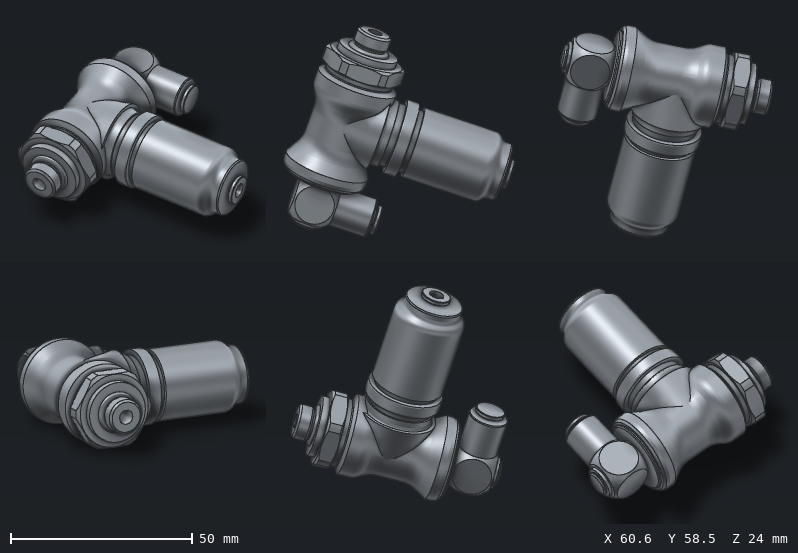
import cadquery as cq
import math


COLLAR_RADIUS = 12.0
WAIST_RADIUS = 9.0
SKIRT_RADIUS = 11.45
FLARE_ANGLE = math.radians(30)
FLARE_FILLET = 8.0
SKIRT_FILLET = 4.25
BODY_TOP = 18.45
TOP_LAND_RADIUS = 9.85
TOP_CHAMFER = 0.35
TOP_STEP_Y = 17.7
TOP_STEP_RADIUS = 11.1
COLLAR_BEVEL_Y = 16.95
COLLAR_BEVEL_RADIUS = 11.7
COLLAR_TOP = 15.85
COLLAR_BOTTOM = 14.0
WAIST_BOTTOM = -0.4
SKIRT_BOTTOM = -11.4
SKIRT_BEVEL_BOTTOM = -12.3
SKIRT_BEVEL_RADIUS = 9.75
BODY_NECK_TOP = -12.65
BODY_NECK_RADIUS = 9.6

HEX_TOP = -14.1
HEX_HEIGHT = 4.65
HEX_ACROSS_FLATS = 21.0
HEX_CORNER_RADIUS = 11.5
HEX_FACE_RADIUS = 10.4
HEX_CHAMFER_ANGLE = math.radians(30)

WASHER_RADIUS = 8.55
WASHER_BOTTOM = -20.75
SEAL_RADIUS = 5.9
SEAL_FACE_RADIUS = 5.15
SEAL_BOTTOM = -21.55
UNDERCUT_RADIUS = 4.3
UNDERCUT_BOTTOM = -22.1
THREAD_RADIUS = 4.9
THREAD_CHAMFER = 0.6
TIP_Y = -26.25
BORE_RADIUS = 2.0

BRANCH_CONE_END = 10.2
BRANCH_CONE_RADIUS = 11.1
SHOULDER_FILLET_RADIUS = 10.0
SHOULDER_START = 11.15
SHOULDER_END = 12.9
SHOULDER_RADIUS = 9.55
RING_START = 14.95
RING_END = 18.45
RING_RADIUS = 10.7
RING_CHAMFER_LENGTH = 0.4
RING_CHAMFER_DEPTH = 0.1
SLEEVE_START = 20.15
SLEEVE_ROUND_START = 41.0
SLEEVE_RADIUS = 10.1
NOSE_ANGLE = math.radians(45)
NOSE_OUTER_FILLET = 2.65
NOSE_INNER_FILLET = 1.9
NOSE_RADIUS = 8.2
NOSE_END = 46.55
NOSE_END_LENGTH = 0.5
NOSE_END_DEPTH = 0.2

BUTTON_STEM_RADIUS = 2.55
BUTTON_STEM_LENGTH = 0.8
BUTTON_RADIUS = 4.1
BUTTON_THICKNESS = 1.2
BUTTON_CHAMFER = 0.2

BLOCK_SIZE = 12.0
BLOCK_FACE_RADIUS = 5.45
ELBOW_TUBE_RADIUS = 5.5
ELBOW_TUBE_END = 16.45
ELBOW_TUBE_CHAMFER_LENGTH = 0.35
ELBOW_TUBE_CHAMFER_DEPTH = 0.1
CAP_RADIUS = 4.4
CAP_HEIGHT = 0.95
CAP_BOSS_RADIUS = 3.45
CAP_BOSS_HEIGHT = 0.85
CAP_BOSS_CHAMFER = 0.5

block_half = BLOCK_SIZE / 2
block_y = BODY_TOP + block_half


def revolve_about_y(outline):
    """Turn an outline drawn in XY as (radius, y) about the Y axis."""
    return outline.close().revolve(360, (0, 0, 0), (0, 1, 0))


def revolve_about_x(outline):
    """Turn an outline drawn in XY as (x, radius) about the X axis."""
    return outline.close().revolve(360, (0, 0, 0), (1, 0, 0))


def make_body():
    flare_slope = math.tan(FLARE_ANGLE)
    fillet_length = FLARE_FILLET * math.sin(FLARE_ANGLE)
    flare_start_radius = WAIST_RADIUS + FLARE_FILLET * (1 - math.cos(FLARE_ANGLE))
    upper_flare_y = COLLAR_BOTTOM - (COLLAR_RADIUS - flare_start_radius) / flare_slope
    waist_top = upper_flare_y - fillet_length
    lower_flare_y = WAIST_BOTTOM - fillet_length
    skirt_flare_radius = SKIRT_RADIUS - SKIRT_FILLET * (1 - math.cos(FLARE_ANGLE))
    skirt_flare_y = lower_flare_y - (skirt_flare_radius - flare_start_radius) / flare_slope
    skirt_top = skirt_flare_y - SKIRT_FILLET * math.sin(FLARE_ANGLE)
    outline = (
        cq.Workplane("XY")
        .moveTo(0, BODY_TOP)
        .lineTo(TOP_LAND_RADIUS, BODY_TOP)
        .lineTo(TOP_LAND_RADIUS + TOP_CHAMFER, BODY_TOP - TOP_CHAMFER)
        .lineTo(TOP_LAND_RADIUS + TOP_CHAMFER, TOP_STEP_Y)
        .lineTo(TOP_STEP_RADIUS, TOP_STEP_Y)
        .lineTo(COLLAR_BEVEL_RADIUS, COLLAR_BEVEL_Y)
        .lineTo(COLLAR_RADIUS, COLLAR_TOP)
        .lineTo(COLLAR_RADIUS, COLLAR_BOTTOM)
        .lineTo(flare_start_radius, upper_flare_y)
        .radiusArc((WAIST_RADIUS, waist_top), -FLARE_FILLET)
        .lineTo(WAIST_RADIUS, WAIST_BOTTOM)
        .radiusArc((flare_start_radius, lower_flare_y), -FLARE_FILLET)
        .lineTo(skirt_flare_radius, skirt_flare_y)
        .radiusArc((SKIRT_RADIUS, skirt_top), SKIRT_FILLET)
        .lineTo(SKIRT_RADIUS, SKIRT_BOTTOM)
        .lineTo(SKIRT_BEVEL_RADIUS, SKIRT_BEVEL_BOTTOM)
        .lineTo(BODY_NECK_RADIUS, BODY_NECK_TOP)
        .lineTo(BODY_NECK_RADIUS, HEX_TOP)
        .lineTo(0, HEX_TOP)
    )
    return revolve_about_y(outline)


def make_hex_nut():
    hex_bottom = HEX_TOP - HEX_HEIGHT
    chamfer_height = (HEX_CORNER_RADIUS - HEX_FACE_RADIUS) * math.tan(HEX_CHAMFER_ANGLE)
    corner_diameter = HEX_ACROSS_FLATS / math.cos(math.pi / 6)
    prism = (
        cq.Workplane("XZ", origin=(0, HEX_TOP, 0))
        .polygon(6, corner_diameter)
        .extrude(HEX_HEIGHT)
    )
    envelope = revolve_about_y(
        cq.Workplane("XY")
        .moveTo(0, HEX_TOP)
        .lineTo(HEX_FACE_RADIUS, HEX_TOP)
        .lineTo(HEX_CORNER_RADIUS, HEX_TOP - chamfer_height)
        .lineTo(HEX_CORNER_RADIUS, hex_bottom + chamfer_height)
        .lineTo(HEX_FACE_RADIUS, hex_bottom)
        .lineTo(0, hex_bottom)
    )
    return prism.intersect(envelope)


def make_threaded_end():
    outline = (
        cq.Workplane("XY")
        .moveTo(0, HEX_TOP)
        .lineTo(WASHER_RADIUS, HEX_TOP)
        .lineTo(WASHER_RADIUS, WASHER_BOTTOM)
        .lineTo(SEAL_RADIUS, WASHER_BOTTOM)
        .radiusArc((SEAL_FACE_RADIUS, SEAL_BOTTOM), WASHER_BOTTOM - SEAL_BOTTOM)
        .lineTo(UNDERCUT_RADIUS, SEAL_BOTTOM)
        .lineTo(UNDERCUT_RADIUS, UNDERCUT_BOTTOM)
        .lineTo(THREAD_RADIUS, UNDERCUT_BOTTOM - THREAD_CHAMFER)
        .lineTo(THREAD_RADIUS, TIP_Y + THREAD_CHAMFER)
        .lineTo(THREAD_RADIUS - THREAD_CHAMFER, TIP_Y)
        .lineTo(0, TIP_Y)
    )
    return revolve_about_y(outline)


def make_passage():
    """Bore from the threaded end to the origin, turning there to leave through the outlet button."""
    inlet = cq.Workplane("XZ").circle(BORE_RADIUS).extrude(-TIP_Y)
    turn = cq.Workplane("XY").sphere(BORE_RADIUS)
    outlet_end = NOSE_END + BUTTON_STEM_LENGTH + BUTTON_THICKNESS
    outlet = cq.Workplane("YZ").circle(BORE_RADIUS).extrude(outlet_end)
    return inlet.union(turn).union(outlet)


def make_outlet():
    rounded_x = SLEEVE_ROUND_START + NOSE_OUTER_FILLET * math.sin(NOSE_ANGLE)
    rounded_radius = SLEEVE_RADIUS - NOSE_OUTER_FILLET * (1 - math.cos(NOSE_ANGLE))
    cone_end_radius = NOSE_RADIUS + NOSE_INNER_FILLET * (1 - math.cos(NOSE_ANGLE))
    cone_end_x = rounded_x + (rounded_radius - cone_end_radius) / math.tan(NOSE_ANGLE)
    nose_start = cone_end_x + NOSE_INNER_FILLET * math.sin(NOSE_ANGLE)
    shoulder_width = SHOULDER_START - BRANCH_CONE_END
    shoulder_drop = SHOULDER_FILLET_RADIUS - SHOULDER_RADIUS
    shoulder_fillet = (shoulder_width**2 + shoulder_drop**2) / (2 * shoulder_drop)
    outline = (
        cq.Workplane("XY")
        .lineTo(0, WAIST_RADIUS)
        .lineTo(BRANCH_CONE_END, BRANCH_CONE_RADIUS)
        .lineTo(BRANCH_CONE_END, SHOULDER_FILLET_RADIUS)
        .radiusArc((SHOULDER_START, SHOULDER_RADIUS), -shoulder_fillet)
        .lineTo(SHOULDER_END, SHOULDER_RADIUS)
        .lineTo(SHOULDER_END, WAIST_RADIUS)
        .lineTo(RING_START, WAIST_RADIUS)
        .lineTo(RING_START, RING_RADIUS - RING_CHAMFER_DEPTH)
        .lineTo(RING_START + RING_CHAMFER_LENGTH, RING_RADIUS)
        .lineTo(RING_END - RING_CHAMFER_LENGTH, RING_RADIUS)
        .lineTo(RING_END, RING_RADIUS - RING_CHAMFER_DEPTH)
        .lineTo(RING_END, WAIST_RADIUS)
        .lineTo(SLEEVE_START, WAIST_RADIUS)
        .lineTo(SLEEVE_START, SLEEVE_RADIUS)
        .lineTo(SLEEVE_ROUND_START, SLEEVE_RADIUS)
        .radiusArc((rounded_x, rounded_radius), NOSE_OUTER_FILLET)
        .lineTo(cone_end_x, cone_end_radius)
        .radiusArc((nose_start, NOSE_RADIUS), -NOSE_INNER_FILLET)
        .lineTo(NOSE_END - NOSE_END_LENGTH, NOSE_RADIUS)
        .lineTo(NOSE_END, NOSE_RADIUS - NOSE_END_DEPTH)
        .lineTo(NOSE_END, 0)
    )
    return revolve_about_x(outline)


def make_button(base_x):
    """Release button on the X axis, standing on a face at base_x."""
    disc_start = base_x + BUTTON_STEM_LENGTH
    disc_end = disc_start + BUTTON_THICKNESS
    rim_radius = BUTTON_RADIUS - BUTTON_CHAMFER
    outline = (
        cq.Workplane("XY")
        .moveTo(base_x, 0)
        .lineTo(base_x, BUTTON_STEM_RADIUS)
        .lineTo(disc_start, BUTTON_STEM_RADIUS)
        .lineTo(disc_start, rim_radius)
        .lineTo(disc_start + BUTTON_CHAMFER, BUTTON_RADIUS)
        .lineTo(disc_end - BUTTON_CHAMFER, BUTTON_RADIUS)
        .lineTo(disc_end, rim_radius)
        .lineTo(disc_end, 0)
    )
    return revolve_about_x(outline)


def make_elbow_block():
    """Cube whose edges are cut back by a sphere, leaving a round land on each face."""
    sphere_radius = math.hypot(block_half, BLOCK_FACE_RADIUS)
    cube = cq.Workplane("XY").box(BLOCK_SIZE, BLOCK_SIZE, BLOCK_SIZE)
    return cube.intersect(cq.Workplane("XY").sphere(sphere_radius)).translate((0, block_y, 0))


def make_elbow_outlet():
    outline = (
        cq.Workplane("XY")
        .lineTo(0, ELBOW_TUBE_RADIUS)
        .lineTo(ELBOW_TUBE_END - ELBOW_TUBE_CHAMFER_LENGTH, ELBOW_TUBE_RADIUS)
        .lineTo(ELBOW_TUBE_END, ELBOW_TUBE_RADIUS - ELBOW_TUBE_CHAMFER_DEPTH)
        .lineTo(ELBOW_TUBE_END, 0)
    )
    tube = revolve_about_x(outline).union(make_button(ELBOW_TUBE_END))
    return tube.translate((0, block_y, 0))


def make_elbow_cap():
    cap_top = block_y + block_half + CAP_HEIGHT
    boss_top = cap_top + CAP_BOSS_HEIGHT
    outline = (
        cq.Workplane("XY")
        .moveTo(0, block_y)
        .lineTo(CAP_RADIUS, block_y)
        .lineTo(CAP_RADIUS, cap_top)
        .lineTo(CAP_BOSS_RADIUS, cap_top)
        .lineTo(CAP_BOSS_RADIUS, boss_top - CAP_BOSS_CHAMFER)
        .lineTo(CAP_BOSS_RADIUS - CAP_BOSS_CHAMFER, boss_top)
        .lineTo(0, boss_top)
    )
    return revolve_about_y(outline)


result = (
    make_body()
    .union(make_outlet())
    .union(make_button(NOSE_END))
    .union(make_hex_nut())
    .union(make_threaded_end())
    .union(make_elbow_block())
    .union(make_elbow_outlet())
    .union(make_elbow_cap())
    .cut(make_passage())
)